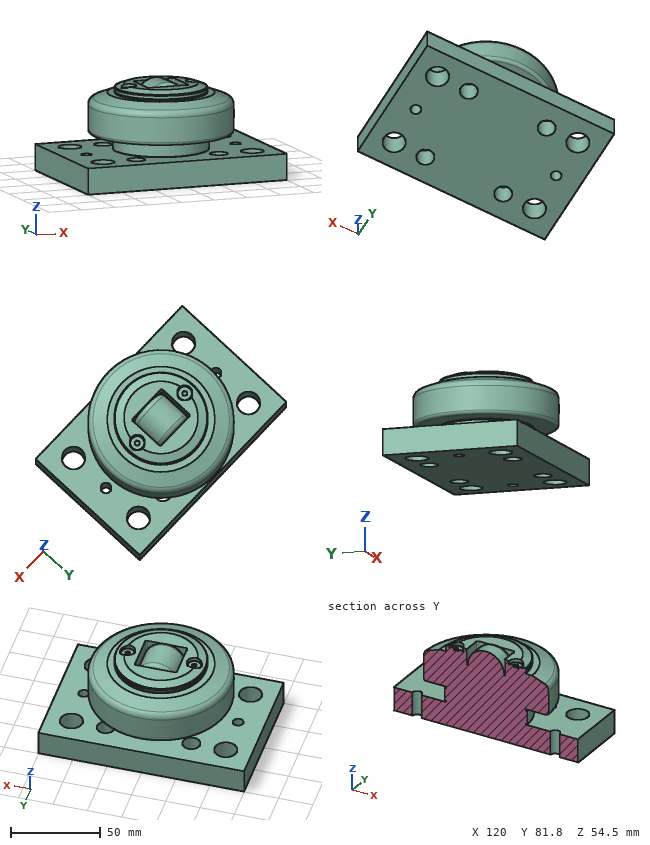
import cadquery as cq
import math

plate_length = 120.0
plate_width = 80.0
plate_height = 15.0
corner_hole_x = 45.0
hole_y = 25.0
corner_hole_diameter = 13.0
dowel_hole_diameter = 6.0
inner_hole_x = hole_y
inner_hole_diameter = 10.1

neck_diameter = 54.0
neck_groove_diameter = 52.0
neck_foot = 15.4
neck_top = 23.8
wheel_bottom = 24.5
wheel_top = 47.4
wheel_crown_diameter = 81.8
wheel_rim_diameter = 81.7
wheel_top_diameter = 60.2
bottom_round = 1.9
rim_low = wheel_bottom + bottom_round
rim_high = 40.5
shoulder_round = 4.1
shoulder_slope = math.radians(20.5)

cap_groove_diameter = 52.0
cap_diameter = 52.5
cap_top_diameter = 41.4
cap_bottom = 48.2
cap_edge_low = 50.0
cap_edge_high = 50.8
cap_cone_diameter = 51.6
cap_top = 52.5

roller_top = 54.5
roller_diameter = 24.0
roller_end_diameter = 23.9
roller_length = 21.8
roller_end_round = 3.0
pocket_length = 24.5
pocket_width = 22.1
pocket_corner_radius = 1.0
roller_axis_height = roller_top - roller_diameter / 2

screw_x = 19.5
screw_recess_diameter = 8.6
screw_recess_depth = 1.8
screw_head_diameter = 7.8
screw_gap_depth = 0.6
screw_socket_corners = 3.0
screw_socket_depth = 1.2


def make_plate():
    plate = cq.Workplane("XY").box(
        plate_length, plate_width, plate_height, centered=(True, True, False)
    )

    def drill(body, points, diameter):
        return body.faces(">Z").workplane(origin=(0, 0, 0)).pushPoints(points).hole(diameter)

    signs = (-1, 1)
    corners = [(sx * corner_hole_x, sy * hole_y) for sx in signs for sy in signs]
    inner = [(sx * inner_hole_x, sy * hole_y) for sx in signs for sy in signs]
    dowels = [(sx * corner_hole_x, 0) for sx in signs]
    plate = drill(plate, corners, corner_hole_diameter)
    plate = drill(plate, inner, inner_hole_diameter)
    return drill(plate, dowels, dowel_hole_diameter)


def make_turned_body():
    """Neck, crowned wheel and cap as one revolved profile of (radius, height)."""
    rim = wheel_rim_diameter / 2
    low_center = (rim - bottom_round, rim_low)
    diagonal = math.sqrt(0.5)
    low_middle = (low_center[0] + bottom_round * diagonal, low_center[1] - bottom_round * diagonal)

    def shoulder_point(angle):
        return (
            rim - shoulder_round * (1 - math.cos(angle)),
            rim_high + shoulder_round * math.sin(angle),
        )

    shoulder_angle = math.pi / 2 - shoulder_slope
    profile = (
        cq.Workplane("XZ")
        .moveTo(0, plate_height)
        .lineTo(neck_groove_diameter / 2, plate_height)
        .lineTo(neck_groove_diameter / 2, neck_foot)
        .lineTo(neck_diameter / 2, neck_foot)
        .lineTo(neck_diameter / 2, neck_top)
        .lineTo(neck_groove_diameter / 2, neck_top)
        .lineTo(neck_groove_diameter / 2, wheel_bottom)
        .lineTo(rim - bottom_round, wheel_bottom)
        .threePointArc(low_middle, (rim, rim_low))
        .threePointArc((wheel_crown_diameter / 2, (rim_low + rim_high) / 2), (rim, rim_high))
        .threePointArc(shoulder_point(shoulder_angle / 2), shoulder_point(shoulder_angle))
        .lineTo(wheel_top_diameter / 2, wheel_top)
        .lineTo(cap_groove_diameter / 2, wheel_top)
        .lineTo(cap_groove_diameter / 2, cap_bottom)
        .lineTo(cap_diameter / 2, cap_bottom)
        .lineTo(cap_diameter / 2, cap_edge_low)
        .lineTo(cap_cone_diameter / 2, cap_edge_high)
        .lineTo(cap_top_diameter / 2, cap_top)
        .lineTo(0, cap_top)
        .close()
    )
    return profile.revolve(360, (0, 0, 0), (0, 1, 0))


def make_roller_pocket():
    return (
        cq.Workplane("XY", origin=(0, 0, roller_axis_height))
        .rect(pocket_length, pocket_width)
        .extrude(cap_top - roller_axis_height)
        .edges("|Z")
        .fillet(pocket_corner_radius)
    )


def make_roller():
    """Slightly crowned roller lying along Y, with rounded ends."""
    half_length = roller_length / 2
    end_radius = roller_end_diameter / 2
    return (
        cq.Workplane("YZ", origin=(0, 0, roller_axis_height))
        .moveTo(-half_length, 0)
        .lineTo(-half_length, end_radius)
        .threePointArc((0, roller_diameter / 2), (half_length, end_radius))
        .lineTo(half_length, 0)
        .close()
        .revolve(360, (0, 0, 0), (1, 0, 0))
        .edges("%CIRCLE")
        .fillet(roller_end_round)
    )


def make_screw_recess(x):
    """Recess over the screw head, a thin gap around the head, and its hexagon socket."""
    floor = cap_top - screw_recess_depth
    recess = (
        cq.Workplane("XY", origin=(x, 0, floor))
        .circle(screw_recess_diameter / 2)
        .extrude(screw_recess_depth)
    )
    gap = (
        cq.Workplane("XY", origin=(x, 0, floor - screw_gap_depth))
        .circle(screw_recess_diameter / 2)
        .circle(screw_head_diameter / 2)
        .extrude(screw_gap_depth)
    )
    socket = (
        cq.Workplane("XY", origin=(x, 0, floor - screw_socket_depth))
        .polygon(6, screw_socket_corners)
        .extrude(screw_socket_depth)
    )
    return recess.union(gap).union(socket)


result = make_plate().union(make_turned_body()).cut(make_roller_pocket()).union(make_roller())
for x in (-screw_x, screw_x):
    result = result.cut(make_screw_recess(x))